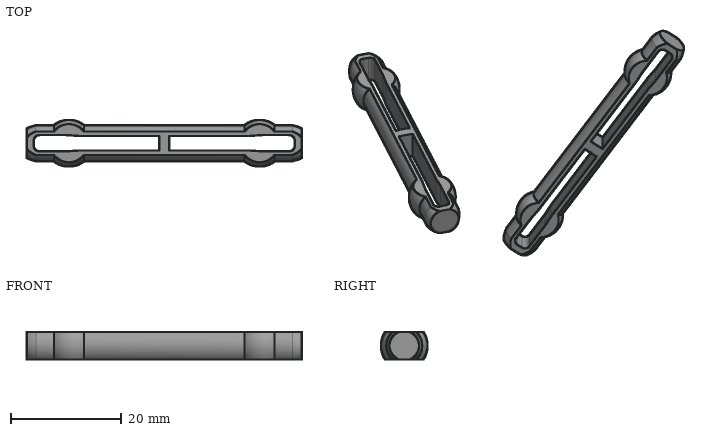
import cadquery as cq

length = 50.0
height = 5.0
rod_diameter = 6.55
end_face_diameter = 5.35
end_rounding_length = 1.7
end_rounding_radius = 7.0

ball_diameter = 8.55
ball_offset = 17.3

bridge_width = 1.9
slot_narrow_width = 2.6
slot_wide_width = 2.9
slot_tip = 23.65
slot_corner_radius = 0.95
slot_taper_start = 15.5
slot_taper_end = 17.7

half_length = length / 2
rod_radius = rod_diameter / 2
end_face_radius = end_face_diameter / 2
ball_radius = ball_diameter / 2


def rounded_rod():
    """Rod along X, with each end curving in to a smaller flat face."""
    shoulder = half_length - end_rounding_length
    corner = (half_length, end_face_radius)
    profile = (
        cq.Workplane("XY")
        .moveTo(-half_length, 0)
        .lineTo(-half_length, end_face_radius)
        .radiusArc((-shoulder, rod_radius), end_rounding_radius)
        .lineTo(shoulder, rod_radius)
        .radiusArc(corner, end_rounding_radius)
        .lineTo(half_length, 0)
        .close()
    )
    return profile.revolve(360, (0, 0, 0), (1, 0, 0))


def slot_cutter():
    """Slot on the +X side: narrow at the bridge, flaring to a wide tip with rounded corners."""
    narrow = slot_narrow_width / 2
    wide = slot_wide_width / 2
    bridge_face = bridge_width / 2
    return (
        cq.Workplane("XY")
        .moveTo(bridge_face, -narrow)
        .lineTo(slot_taper_start, -narrow)
        .lineTo(slot_taper_end, -wide)
        .lineTo(slot_tip, -wide)
        .lineTo(slot_tip, wide)
        .lineTo(slot_taper_end, wide)
        .lineTo(slot_taper_start, narrow)
        .lineTo(bridge_face, narrow)
        .close()
        .extrude(height, both=True)
        .edges("|Z and >X")
        .fillet(slot_corner_radius)
    )


body = rounded_rod()
for side in (-1, 1):
    ball = cq.Workplane("XY").sphere(ball_radius).translate((side * ball_offset, 0, 0))
    body = body.union(ball)

body = body.intersect(cq.Workplane("XY").box(length, ball_diameter, height))

right_slot = slot_cutter()
left_slot = right_slot.mirror("YZ")
result = body.cut(right_slot).cut(left_slot)